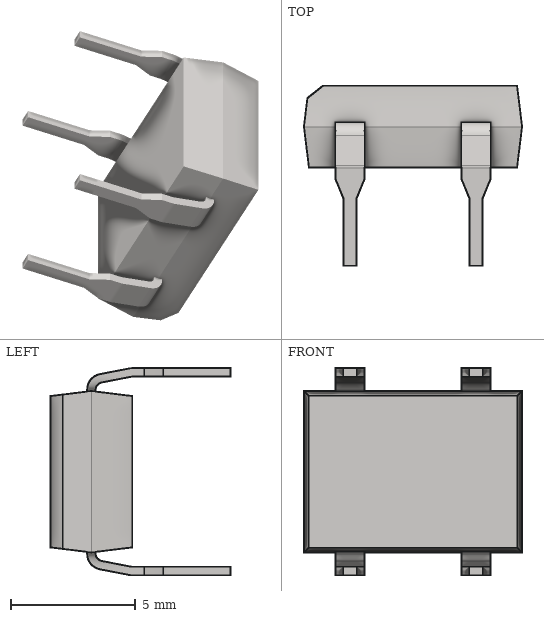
import cadquery as cq
import math


body_length = 8.8
body_height = 6.51
body_depth = 3.3
body_half_depth = body_depth / 2
draft_angle = 7.0
index_chamfer_length = 0.57
index_chamfer_depth = 0.5

lead_pitch = 5.08
row_height = 8.36
lead_thickness = 0.35
overall_depth = 7.26
lead_tip_y = body_half_depth - overall_depth
lead_width = 1.17
pin_width = 0.54
taper_start_y = -2.13
taper_end_y = -2.895
root_straight_length = 0.35
lead_tilt = math.radians(11.0)
root_inner_radius = 0.3
knee_inner_radius = 0.18


def make_body():
    """Two drafted halves meeting at the parting plane, with the back edge at -X chamfered."""
    halves = cq.Workplane("XZ").rect(body_length, body_height).extrude(body_half_depth, taper=draft_angle)
    halves = halves.union(halves.mirror("XZ"))

    face_half_length = body_length / 2 - body_half_depth * math.tan(math.radians(draft_angle))
    back_corner = (-face_half_length, body_half_depth)
    chamfer_back = (back_corner[0] + index_chamfer_length, back_corner[1])
    chamfer_side_x = back_corner[0] - index_chamfer_depth * math.tan(math.radians(draft_angle))
    chamfer_side = (chamfer_side_x, back_corner[1] - index_chamfer_depth)
    chamfer_wedge = (
        cq.Workplane("XY")
        .polyline([back_corner, chamfer_back, chamfer_side])
        .close()
        .extrude(body_height, both=True)
    )
    return halves.cut(chamfer_wedge)


def arc_point(center, radius, angle):
    """Point on an arc in the YZ plane, with the angle measured from +Z towards +Y."""
    return (center[0] + radius * math.sin(angle), center[1] + radius * math.cos(angle))


def make_lead():
    """Upper lead at X = 0: a bent strip trimmed to a plan outline that narrows to a pin."""
    root_outer_radius = root_inner_radius + lead_thickness
    knee_outer_radius = knee_inner_radius + lead_thickness
    root_turn = math.pi / 2

    knee_center = (-body_half_depth, row_height / 2 - knee_outer_radius)
    root_center_y = lead_thickness / 2 - root_outer_radius
    center_run = root_center_y - knee_center[0]
    radius_drop = root_inner_radius - knee_inner_radius
    center_rise = (radius_drop + center_run * math.sin(lead_tilt)) / math.cos(lead_tilt)
    root_center = (root_center_y, knee_center[1] - center_rise)

    root_middle = (root_turn + lead_tilt) / 2
    knee_middle = lead_tilt / 2
    embedded_z = root_center[1] - root_straight_length
    strip = (
        cq.Workplane("YZ")
        .moveTo(lead_thickness / 2, embedded_z)
        .lineTo(*arc_point(root_center, root_outer_radius, root_turn))
        .threePointArc(
            arc_point(root_center, root_outer_radius, root_middle),
            arc_point(root_center, root_outer_radius, lead_tilt),
        )
        .lineTo(*arc_point(knee_center, knee_outer_radius, lead_tilt))
        .threePointArc(
            arc_point(knee_center, knee_outer_radius, knee_middle),
            arc_point(knee_center, knee_outer_radius, 0),
        )
        .lineTo(lead_tip_y, row_height / 2)
        .lineTo(lead_tip_y, row_height / 2 - lead_thickness)
        .lineTo(*arc_point(knee_center, knee_inner_radius, 0))
        .threePointArc(
            arc_point(knee_center, knee_inner_radius, knee_middle),
            arc_point(knee_center, knee_inner_radius, lead_tilt),
        )
        .lineTo(*arc_point(root_center, root_inner_radius, lead_tilt))
        .threePointArc(
            arc_point(root_center, root_inner_radius, root_middle),
            arc_point(root_center, root_inner_radius, root_turn),
        )
        .lineTo(-lead_thickness / 2, embedded_z)
        .close()
        .extrude(lead_width / 2, both=True)
    )

    plan_outline = (
        cq.Workplane("XY")
        .moveTo(0, lead_thickness / 2)
        .lineTo(lead_width / 2, lead_thickness / 2)
        .lineTo(lead_width / 2, taper_start_y)
        .lineTo(pin_width / 2, taper_end_y)
        .lineTo(pin_width / 2, lead_tip_y)
        .lineTo(0, lead_tip_y)
        .mirrorY()
        .extrude(row_height / 2)
    )
    return strip.intersect(plan_outline)


result = make_body()
upper_lead = make_lead()
for lead_x in (-lead_pitch / 2, lead_pitch / 2):
    placed_lead = upper_lead.translate((lead_x, 0, 0))
    result = result.union(placed_lead)
    result = result.union(placed_lead.mirror("XY"))